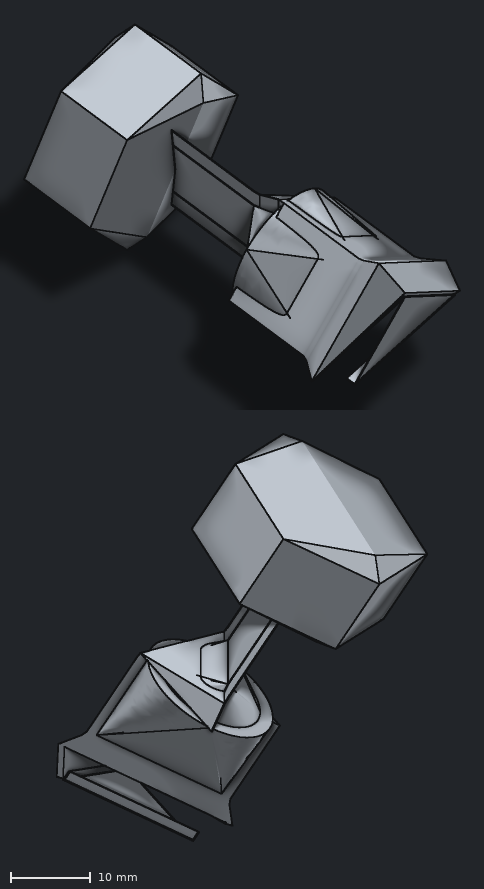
import cadquery as cq
import math

total_length = 54.0

nut_corner_diameter = 27.7
nut_length = 15.0
nut_taper = 1.9
nut_ridge_radius = 10.55
nut_corners = 6
ridge_angle = 60.0

stem_thickness = 0.1
stem_radius = 8.1
core_radius = 5.0
stem_end = 28.35
stem_start = nut_length - nut_taper

flare_start = 29.25
flare_start_radius = 8.25
flare_end = 32.55
flare_end_radius = 10.3

barrel_start = 33.5
barrel_end = 46.15
barrel_radius = 10.35
collar_start = 47.0
collar_start_radius = 10.7
collar_peak = 49.55
collar_peak_radius = 12.6
collar_end_radius = 10.3

insert_joint = 32.9
cone_radius = 7.2
sleeve_radius = 9.0
sleeve_end = 46.05

lip_radius = 9.4
lip_length = 1.5
lip_wall = 0.1
collar_wall = collar_end_radius - lip_radius


def polyhedron(faces):
    """Solid bounded by flat faces, each given as a list of points."""
    flats = [cq.Face.makeFromWires(cq.Wire.makePolygon(face, close=True)) for face in faces]
    return cq.Solid.makeSolid(cq.Shell.makeShell(flats))


def at_angle(x, radius, angle):
    """Point at an angle from +Y toward +Z around the X axis."""
    turn = math.radians(angle)
    return cq.Vector(x, radius * math.cos(turn), radius * math.sin(turn))


def triangle(x, radius):
    """Triangular section: a flat base on Z = 0 and a ridge at the top."""
    return [at_angle(x, radius, angle) for angle in (0, 90, 180)]


def skin(start, end):
    """Solid between two sections with the same number of points."""
    count = len(start)
    faces = [start, end]
    for i in range(count):
        j = (i + 1) % count
        faces.append([start[i], start[j], end[j], end[i]])
    return polyhedron(faces)


def disc_taper(x, radius, angles, apexes):
    """Solid from a disc at x to the apexes; apex i serves the arc from angles[i] to the next angle."""
    count = len(apexes)
    rim = [at_angle(x, radius, angle) for angle in angles]
    faces = []
    for i in range(count):
        j = (i + 1) % count
        faces.append([rim[i], rim[j], apexes[i]])
        faces.append([apexes[i], apexes[j], rim[j]])
    if count > 2:
        faces += [rim, apexes]
    body = polyhedron(faces)
    for i in range(count):
        j = (i + 1) % count
        sweep = (angles[j] - angles[i]) % 360
        middle = at_angle(x, radius, angles[i] + sweep / 2)
        arc = cq.Edge.makeThreePointArc(rim[i], middle, rim[j])
        chord = cq.Edge.makeLine(rim[j], rim[i])
        segment = cq.Wire.assembleEdges([arc, chord])
        tip = cq.Vertex.makeVertex(*apexes[i].toTuple())
        oblique_cone = cq.occ_impl.shapes.loft(cq.Face.makeFromWires(segment), tip, ruled=True)
        body = body.fuse(oblique_cone)
    return cq.Workplane(body)


def flat_plate(points):
    """Thin plate on the XZ plane, centred on Y = 0."""
    return cq.Workplane("XZ").polyline(points).close().extrude(stem_thickness / 2, both=True)


def make_nut():
    """Hexagonal prism whose ends taper to a ridge line across one pair of corners."""
    corner_radius = nut_corner_diameter / 2
    step = 360 / nut_corners

    def corners(x):
        return [at_angle(x, corner_radius, i * step) for i in range(nut_corners)]

    left = corners(nut_taper)
    right = corners(nut_length - nut_taper)
    faces = [[left[i - 1], left[i], right[i], right[i - 1]] for i in range(nut_corners)]
    for x, hexagon in ((0, left), (nut_length, right)):
        upper = at_angle(x, nut_ridge_radius, ridge_angle)
        lower = at_angle(x, nut_ridge_radius, ridge_angle + 180)
        faces += [
            [upper, hexagon[0], hexagon[1]],
            [upper, hexagon[1], hexagon[2]],
            [upper, hexagon[2], hexagon[3], lower],
            [lower, hexagon[3], hexagon[4]],
            [lower, hexagon[4], hexagon[5]],
            [lower, hexagon[5], hexagon[0], upper],
        ]
    return cq.Workplane(polyhedron(faces))


def make_cone():
    """Taper from a vertical line at the end of the stem to a disc."""
    tips = [cq.Vector(stem_end, 0, core_radius), cq.Vector(stem_end, 0, -core_radius)]
    return disc_taper(insert_joint, cone_radius, (0, 180), tips)


def make_sleeve():
    """Taper from a disc to a triangle inscribed in the same radius."""
    arc_starts = (-90, 45, 135)
    return disc_taper(insert_joint, sleeve_radius, arc_starts, triangle(sleeve_end, sleeve_radius))


def make_core(nut):
    """Middle strip of the flat stem, running up to the sloping face of the nut."""
    strip = flat_plate([
        (stem_start, -core_radius),
        (stem_end, -core_radius),
        (stem_end, core_radius),
        (stem_start, core_radius),
    ])
    return strip.cut(nut)


def make_flare():
    """Wedge on the +Y side from a vertical line to a triangle, with a neck on to the barrel."""
    line_top = cq.Vector(flare_start, 0, flare_start_radius)
    line_bottom = cq.Vector(flare_start, 0, -flare_start_radius)
    side, top, bottom = [at_angle(flare_end, flare_end_radius, angle) for angle in (0, 90, -90)]
    wedge = polyhedron([
        [line_top, top, side],
        [line_top, side, line_bottom],
        [line_bottom, side, bottom],
        [line_top, line_bottom, bottom, top],
        [top, bottom, side],
    ])
    neck = skin(
        [cq.Vector(flare_end, 0, 0), side, top],
        [cq.Vector(barrel_start, 0, 0), *triangle(barrel_start, barrel_radius)[:2]],
    )
    return wedge.fuse(neck)


def make_collar_end():
    """Two thin sloping walls from the collar peak to the end, open below."""
    side, top, far_side = triangle(collar_peak, collar_peak_radius)
    end_side, end_top = triangle(total_length, collar_end_radius)[:2]
    wedge = polyhedron([
        [side, top, far_side],
        [side, top, end_top, end_side],
        [top, far_side, end_top],
        [far_side, end_side, end_top],
        [side, far_side, end_side],
    ])
    return wedge.cut(wedge.translate(cq.Vector(0, 0, -collar_wall)))


def make_fitting(nut, core, cone, sleeve):
    """Outer stem, flare, barrel and collar, hollowed where the other bodies sit."""
    upper_edge = [
        (stem_start, stem_radius),
        (stem_end, stem_radius),
        (flare_start, flare_start_radius),
        (flare_end, flare_end_radius),
    ]
    lower_edge = [(x, -z) for x, z in reversed(upper_edge)]
    fitting = flat_plate(upper_edge + lower_edge).union(cq.Workplane(make_flare()))
    sections = [
        triangle(barrel_start, barrel_radius),
        triangle(barrel_end, barrel_radius),
        triangle(collar_start, collar_start_radius),
        triangle(collar_peak, collar_peak_radius),
    ]
    for start, end in zip(sections, sections[1:]):
        fitting = fitting.union(cq.Workplane(skin(start, end)))
    fitting = fitting.union(cq.Workplane(make_collar_end()))
    return fitting.cut(nut).cut(core).cut(cone).cut(sleeve)


def make_lip():
    """Triangular end cap with a thin floor, +Y wall and end, open toward -X and -Y."""
    lip_start = total_length - lip_length
    outer = skin(triangle(lip_start, lip_radius), triangle(total_length, lip_radius))
    shift = cq.Vector(-lip_wall, -2 * lip_wall, lip_wall)
    return cq.Workplane(outer.cut(outer.translate(shift)))


nut = make_nut()
core = make_core(nut)
cone = make_cone()
sleeve = make_sleeve()
fitting = make_fitting(nut, core, cone, sleeve)
lip = make_lip()

result = cq.Compound.makeCompound([
    *nut.solids().vals(),
    *core.solids().vals(),
    *cone.solids().vals(),
    *sleeve.solids().vals(),
    *fitting.solids().vals(),
    *lip.solids().vals(),
])